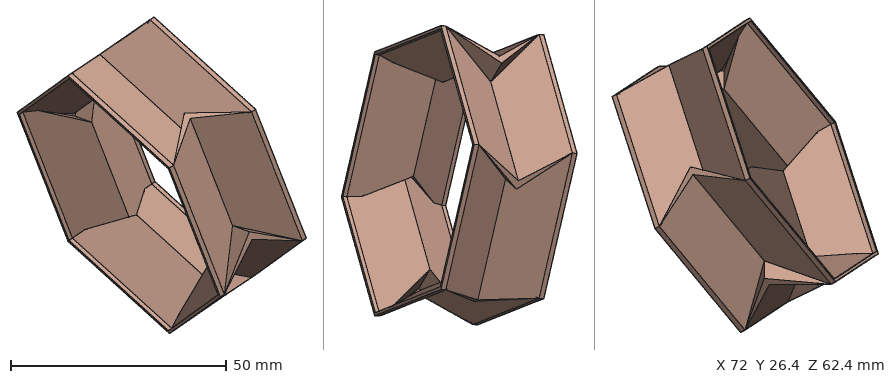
import cadquery as cq
import math

SIDES = 6
CORNER_RADIUS = 36.0
RING_WIDTH = 26.4
WALL = 0.7
RIM_WIDTH = 1.2
GROOVE_DEPTH = 6.8
END_SETBACK = 10.0

APOTHEM = CORNER_RADIUS * math.cos(math.pi / SIDES)
HALF_SIDE = CORNER_RADIUS * math.sin(math.pi / SIDES)
HALF_GROOVE = RING_WIDTH / 2 - RIM_WIDTH
DEPTH_SLOPE = GROOVE_DEPTH / HALF_GROOVE
END_SLOPE = END_SETBACK / HALF_GROOVE
TOOL_REACH = CORNER_RADIUS


def hexagonal_prism(apothem):
    """Hexagonal prism along Y with two corners on the X axis."""
    corner_diameter = 2 * apothem / math.cos(math.pi / SIDES)
    return cq.Workplane("XZ").polygon(SIDES, corner_diameter).extrude(RING_WIDTH / 2, both=True)


def groove(offset):
    """V groove of the top side, grown by an offset square to its walls."""
    fold_z = APOTHEM - GROOVE_DEPTH - offset * math.hypot(1, DEPTH_SLOPE)
    fold_end_x = HALF_SIDE - END_SETBACK + offset * math.hypot(1, END_SLOPE)
    half_width = RING_WIDTH

    section_top = fold_z + half_width * DEPTH_SLOPE
    section = (
        cq.Workplane("YZ")
        .polyline([(0, fold_z), (half_width, section_top), (-half_width, section_top)])
        .close()
        .extrude(TOOL_REACH, both=True)
    )
    end_x = fold_end_x + half_width * END_SLOPE
    plan = (
        cq.Workplane("XY")
        .polyline([
            (-TOOL_REACH, -half_width),
            (end_x, -half_width),
            (fold_end_x, 0),
            (end_x, half_width),
            (-TOOL_REACH, half_width),
        ])
        .close()
        .extrude(section_top)
    )
    return section.intersect(plan)


def grooved_prism(apothem, groove_offset):
    """Hexagonal prism with the same groove cut into every side."""
    body = hexagonal_prism(apothem)
    tool = groove(groove_offset)
    for side in range(SIDES):
        body = body.cut(tool.rotate((0, 0, 0), (0, 1, 0), side * 360 / SIDES))
    return body


outer_body = grooved_prism(APOTHEM, 0)
cavity = grooved_prism(APOTHEM - WALL, WALL)
result = outer_body.cut(cavity)